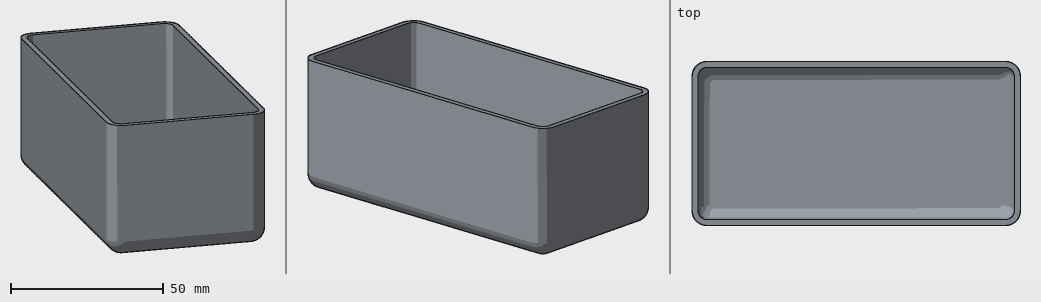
import cadquery as cq

length = 108.0
width = 54.0
height = 45.0
outer_radius = 5.0

cavity_length = 104.0
wall = (length - cavity_length) / 2
floor_thickness = wall
cavity_corner_radius = outer_radius - wall
cavity_floor_radius = 5.0


def rounded_block(size_x, size_y, size_z, corner_radius, bottom_radius):
    """Block standing on Z = 0 with rounded upright and bottom edges."""
    block = cq.Workplane("XY").box(size_x, size_y, size_z, centered=(True, True, False))
    block = block.edges("|Z").fillet(corner_radius)
    return block.faces("<Z").edges().fillet(bottom_radius)


body = rounded_block(length, width, height, outer_radius, outer_radius)
cavity = rounded_block(
    cavity_length,
    width - 2 * wall,
    height - floor_thickness,
    cavity_corner_radius,
    cavity_floor_radius,
).translate((0, 0, floor_thickness))

result = body.cut(cavity)